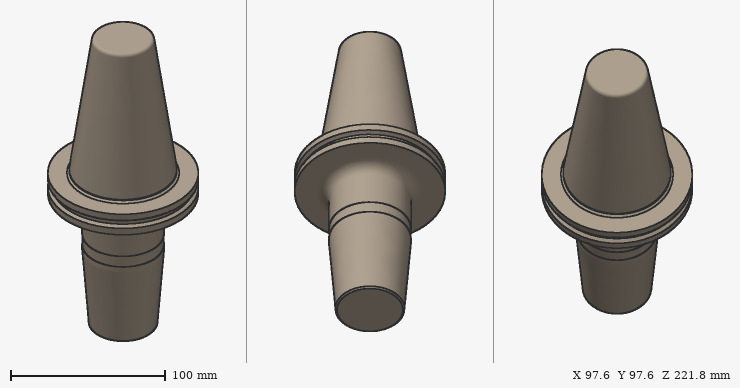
import cadquery as cq

total_length = 221.8

gauge_height = 120.0
gauge_radius = 34.93
taper_ratio = 7 / 24
taper_end_fillet = 2.5

gauge_land = 1.3
neck_radius = 34.4
neck_height = 0.7
flare_radius = 36.4

flange_radius = 48.8
flange_top = 116.9
flange_bottom = 101.0
groove_middle = 108.9
groove_mouth = 6.0
groove_floor = 2.9
groove_depth = 2.7

shank_radius = 26.5
shank_fillet = 7.8
band_top = 69.5
band_bottom = 61.2
band_depth = 0.2
nose_start = 57.2
nose_radius = 22.5
nose_chamfer = 1.0

taper_end_radius = gauge_radius - taper_ratio * (total_length - gauge_height) / 2
groove_radius = flange_radius - groove_depth
neck_top = gauge_height - gauge_land
neck_bottom = neck_top - neck_height
band_radius = shank_radius - band_depth

profile = (
    cq.Workplane("XZ")
    .moveTo(0, 0)
    .lineTo(nose_radius - nose_chamfer, 0)
    .lineTo(nose_radius, nose_chamfer)
    .lineTo(shank_radius, nose_start)
    .lineTo(shank_radius, band_bottom)
    .lineTo(band_radius, band_bottom)
    .lineTo(band_radius, band_top)
    .lineTo(shank_radius, band_top)
    .lineTo(shank_radius, flange_bottom - shank_fillet)
    .radiusArc((shank_radius + shank_fillet, flange_bottom), shank_fillet)
    .lineTo(flange_radius, flange_bottom)
    .lineTo(flange_radius, groove_middle - groove_mouth / 2)
    .lineTo(groove_radius, groove_middle - groove_floor / 2)
    .lineTo(groove_radius, groove_middle + groove_floor / 2)
    .lineTo(flange_radius, groove_middle + groove_mouth / 2)
    .lineTo(flange_radius, flange_top)
    .lineTo(flare_radius, flange_top)
    .lineTo(neck_radius, neck_bottom)
    .lineTo(neck_radius, neck_top)
    .lineTo(gauge_radius, neck_top)
    .lineTo(gauge_radius, gauge_height)
    .lineTo(taper_end_radius, total_length)
    .lineTo(0, total_length)
    .close()
)

body = profile.revolve(360, (0, 0, 0), (0, 1, 0))
result = body.faces(">Z").edges().fillet(taper_end_fillet)